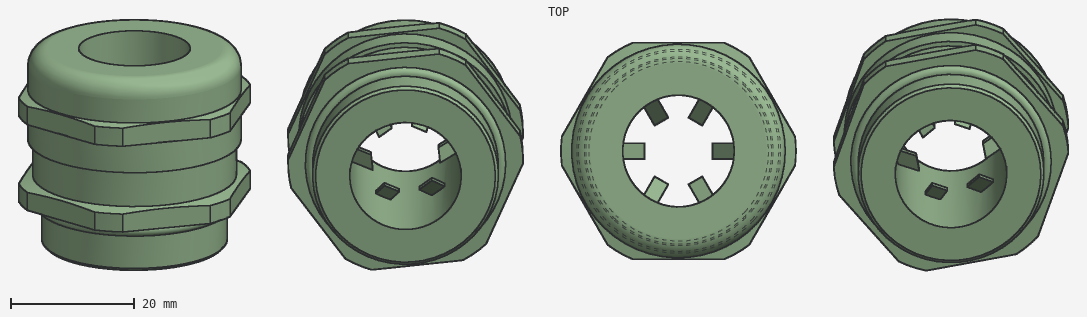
import cadquery as cq
import math

total_height = 33.0
bore_radius = 9.0

thread_radius = 15.0
thread_chamfer = 0.5

ring_radius = 16.2
ring_bottom = 6.1

hex_flat_size = 35.0
hex_corner_radius = 19.0
hex_sides = 6
hex_top_slope = 11.0
lower_hex_bottom = 7.98
lower_hex_top = 11.5
upper_hex_bottom = 22.57
upper_hex_top = 26.0

body_radius = 16.5
nut_radius = 17.25
nut_bottom = 17.5
nut_round = 3.0

finger_count = 6
finger_width = 2.6
finger_tip_radius = 5.47
finger_tip_length = 0.3
finger_root_top = nut_bottom
finger_slope = 60.0
finger_tip_slope = 65.0
finger_thickness = 0.75
wall_overlap = 0.75


def cylinder(radius, bottom, top):
    return cq.Workplane("XY").workplane(offset=bottom).circle(radius).extrude(top - bottom)


def hex_collar(bottom, top, shoulder_radius):
    """Hexagon with turned corners and a shallow conical top that starts at the shoulder."""
    hexagon_diameter = hex_flat_size / math.cos(math.pi / hex_sides)
    prism = (
        cq.Workplane("XY")
        .workplane(offset=bottom)
        .polygon(hex_sides, hexagon_diameter)
        .extrude(top - bottom)
    )
    corner_drop = (hex_corner_radius - shoulder_radius) * math.tan(math.radians(hex_top_slope))
    turned_blank = (
        cq.Workplane("XZ")
        .moveTo(0, bottom)
        .lineTo(hex_corner_radius, bottom)
        .lineTo(hex_corner_radius, top - corner_drop)
        .lineTo(shoulder_radius, top)
        .lineTo(0, top)
        .close()
        .revolve(360, (0, 0, 0), (0, 1, 0))
    )
    return prism.intersect(turned_blank)


def sealing_ring():
    """Solid disc whose rim is a full half-round between the thread and the lower collar."""
    rim_radius = (lower_hex_bottom - ring_bottom) / 2
    rim_start = ring_radius - rim_radius
    return (
        cq.Workplane("XZ")
        .moveTo(0, ring_bottom)
        .lineTo(rim_start, ring_bottom)
        .threePointArc((ring_radius, ring_bottom + rim_radius), (rim_start, lower_hex_bottom))
        .lineTo(0, lower_hex_bottom)
        .close()
        .revolve(360, (0, 0, 0), (0, 1, 0))
    )


def contact_finger():
    """Flat strip running down and inward from the bore wall, with a steeper tip."""
    root_radius = bore_radius + wall_overlap
    bend_radius = finger_tip_radius + finger_tip_length
    slope = math.tan(math.radians(finger_slope))
    root_top = finger_root_top + wall_overlap * slope
    bend_height = finger_root_top - (bore_radius - bend_radius) * slope
    tip_height = bend_height - finger_tip_length * math.tan(math.radians(finger_tip_slope))
    drop = finger_thickness / math.cos(math.radians(finger_slope))
    return (
        cq.Workplane("XZ")
        .moveTo(root_radius, root_top)
        .lineTo(bend_radius, bend_height)
        .lineTo(finger_tip_radius, tip_height)
        .lineTo(finger_tip_radius, tip_height - drop)
        .lineTo(root_radius, root_top - drop)
        .close()
        .extrude(finger_width / 2, both=True)
    )


thread = cylinder(thread_radius, 0, ring_bottom).faces("<Z").edges().chamfer(thread_chamfer)
ring = sealing_ring()
body = cylinder(body_radius, lower_hex_bottom, nut_bottom)
nut = cylinder(nut_radius, nut_bottom, total_height).faces(">Z").edges().fillet(nut_round)

gland = (
    thread.union(ring)
    .union(body)
    .union(nut)
    .union(hex_collar(lower_hex_bottom, lower_hex_top, body_radius))
    .union(hex_collar(upper_hex_bottom, upper_hex_top, nut_radius))
    .cut(cylinder(bore_radius, 0, total_height))
)

finger = contact_finger()
for index in range(finger_count):
    gland = gland.union(finger.rotate((0, 0, 0), (0, 0, 1), index * 360 / finger_count))

result = gland